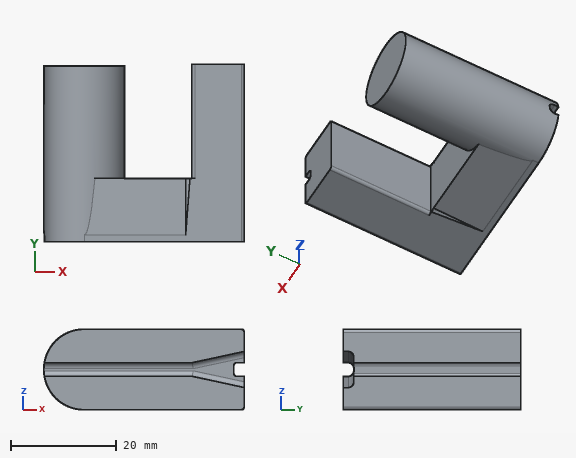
import cadquery as cq
import math

length = 38.2
width = 33.8
thickness = 15.4
half_thickness = thickness / 2

leg_radius = half_thickness
round_leg_end = 33.5

crossbar_width = 12.07
square_leg_width = 10.05
square_leg_start = length - square_leg_width
edge_radius = 0.6

relief_start = 1.38
relief_depth = 0.25
relief_floor_end = 27.05
relief_wall_run = 0.8

groove_depth = 2.03
groove_half_width = 1.3
groove_floor_radius = 1.1
flare_start = 28.28
flare_half_width = 3.45

slot_depth = 2.0
slot_width = 2.55
slot_corner_radius = 0.57

overrun = 1.9


def make_round_leg():
    """Cylinder along Y, tangent to the top and bottom of the part."""
    leg = cq.Workplane("XZ").center(leg_radius, 0).circle(leg_radius)
    return leg.extrude(-round_leg_end)


def make_crossbar():
    """Straight bar from the axis of the round leg to the outer side."""
    bar_length = length - leg_radius
    bar = cq.Workplane("XY").box(bar_length, crossbar_width, thickness, centered=(False, False, True))
    return bar.translate((leg_radius, 0, 0)).edges(">X and |Y").fillet(edge_radius)


def make_square_leg():
    """Leg beyond the crossbar, with its four long edges rounded."""
    leg_length = width - crossbar_width
    leg = cq.Workplane("XY").box(square_leg_width, leg_length, thickness, centered=(False, False, True))
    return leg.edges("|Y").fillet(edge_radius).translate((square_leg_start, crossbar_width, 0))


def make_top_relief():
    """Tilted cutter with a sloped end wall, deepening toward the inner side."""
    relief_length = crossbar_width - relief_start
    tilt_angle = math.degrees(math.atan2(relief_depth, relief_length))
    wall_reach = relief_wall_run * overrun / relief_depth
    section = [(leg_radius, 0),
               (relief_floor_end, 0),
               (relief_floor_end + wall_reach, overrun),
               (leg_radius, overrun)]
    cutter = cq.Workplane("XZ").polyline(section).close().extrude(-(relief_length + overrun))
    tilted = cutter.rotate((0, 0, 0), (1, 0, 0), -tilt_angle)
    return tilted.translate((0, relief_start, half_thickness))


def make_groove():
    """Straight groove that opens into a V, with rounded floor edges."""
    slope = (flare_half_width - groove_half_width) / (length - flare_start)
    groove_end = length + overrun
    end_half_width = flare_half_width + slope * overrun
    outline = [(-overrun, -groove_half_width),
               (flare_start, -groove_half_width),
               (groove_end, -end_half_width),
               (groove_end, end_half_width),
               (flare_start, groove_half_width),
               (-overrun, groove_half_width)]
    groove = cq.Workplane("XZ").polyline(outline).close().extrude(-groove_depth)
    side_edges = groove.faces(">Y").edges("not |Z")
    return side_edges.fillet(groove_floor_radius)


def make_slot():
    """Slot through the full width, with rounded floor corners."""
    slot = cq.Workplane("XY").box(slot_depth, width, slot_width, centered=(False, False, True))
    slot = slot.edges("<X and |Y").fillet(slot_corner_radius)
    return slot.translate((length - slot_depth, 0, 0))


top_relief = make_top_relief()
crossbar = make_crossbar().cut(top_relief).cut(top_relief.mirror("XY"))
body = crossbar.union(make_round_leg()).union(make_square_leg())
result = body.cut(make_groove()).cut(make_slot())